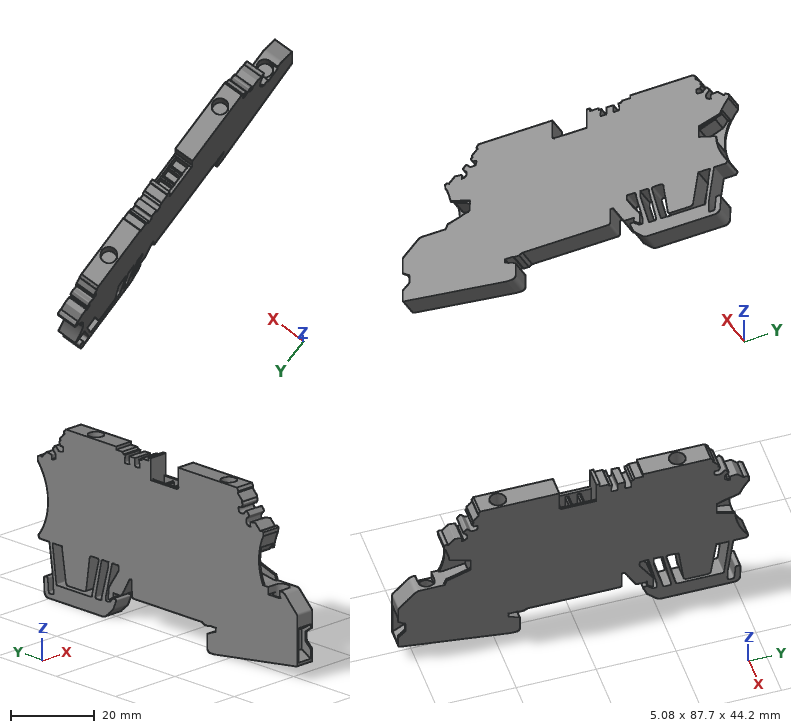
import cadquery as cq
import math


width = 5.08
length = 87.73
height = 44.25
half_length = length / 2
half_width = width / 2

step_z = height - 0.81
marker_z = step_z - 0.51
slot_z = 38.7
shoulder_z = 21.77
belly_z = 14.32
rail_z = 7.16
ledge_z = 6.86
foot_z = 3.98

teeth_mirror_y = 5.575

slot_y_left = 5.68
slot_y_right = -3.58
slot_chamfer = 0.45
slot_fillet = 0.15

hole_diameter = 4.0
hole_depth = 5.0
left_hole_y = 26.7
right_hole_y = -18.2
low_hole_y = -36.05
low_hole_x = -0.15
side_notch_depth = 1.9

funnel_half_width = 1.99
high_face_ys = (41.3, -31.25)
high_funnel_depth = 5.5
low_funnel_depth = 3.0
wall_notch_radius = 0.5
overcut = 2.0

pocket_x_min = -1.72
pocket_x_max = 1.99
pocket_depth = 4.0
plate_thickness = 0.9
plate_top_drop = 0.6
plate_ridge = 0.3
plate_ys = (2.7, -0.34)


def rounded_face(corners):
    """Closed YZ outline through corners (y, z) or (y, z, radius); a radius rounds that corner."""
    starts, middles, ends = [], [], []
    count = len(corners)
    for i in range(count):
        here = cq.Vector(*corners[i][:2])
        radius = corners[i][2] if len(corners[i]) > 2 else 0
        if radius == 0:
            starts.append(here)
            middles.append(None)
            ends.append(here)
            continue
        to_last = (cq.Vector(*corners[i - 1][:2]) - here).normalized()
        to_next = (cq.Vector(*corners[(i + 1) % count][:2]) - here).normalized()
        half_angle = to_last.getAngle(to_next) / 2
        setback = radius / math.tan(half_angle)
        bisector = (to_last + to_next).normalized()
        starts.append(here + to_last * setback)
        middles.append(here + bisector * (radius / math.sin(half_angle) - radius))
        ends.append(here + to_next * setback)

    path = cq.Workplane("YZ").moveTo(ends[0].x, ends[0].y)
    for i in list(range(1, count)) + [0]:
        path = path.lineTo(starts[i].x, starts[i].y)
        if middles[i] is not None:
            path = path.threePointArc((middles[i].x, middles[i].y), (ends[i].x, ends[i].y))
    return path.close()


def slab(corners, x_min=-half_width, x_max=half_width):
    """Rounded outline extruded from x_min to x_max."""
    return rounded_face(corners).extrude(x_max - x_min).translate((x_min, 0, 0))


def corner_teeth():
    """Marker teeth of the +Y upper corner, from the top edge outwards."""
    return [
        (35.12, 43.44),
        (34.85, 43.00),
        (36.43, 41.37, 0.15),
        (36.20, 40.95),
        (36.70, 40.50, 0.2),
        (36.15, 39.60),
        (35.15, 39.60, 0.4),
        (35.20, 38.15, 0.8),
        (36.75, 38.15, 0.3),
        (37.90, 39.30, 0.25),
        (38.83, 38.20, 0.15),
        (37.80, 37.05, 0.5),
        (37.80, 36.10, 0.5),
        (38.60, 35.50),
        (39.13, 35.50),
        (39.13, 36.65, 0.2),
        (40.90, 36.85, 0.2),
        (42.56, 35.20),
        (43.00, 35.55, 0.15),
    ]


def mirrored(corners, mirror_y):
    """The same stretch, in the same order, mirrored about mirror_y."""
    return [(2 * mirror_y - c[0], *c[1:]) for c in corners]


def marker_groove(outer_mouth_y, outer_floor_y, inner_y):
    """One undercut groove of the group marker, from its outer rim to its inner rim."""
    floor_z = 40.8
    undercut_z = 41.7
    corner_radius = 0.35
    return [
        (outer_mouth_y, marker_z),
        (outer_floor_y, undercut_z),
        (outer_floor_y, floor_z, corner_radius),
        (inner_y, floor_z, corner_radius),
        (inner_y, marker_z),
    ]


def top_edge():
    """Top of the housing from the +Y teeth to the -Y teeth."""
    groove_mirror_y = 11.92
    groove = marker_groove(14.2, 14.45, 12.86)
    return [
        (17.36, height),
        (17.36, step_z),
        (15.30, step_z),
        (14.80, marker_z),
        *groove,
        *mirrored(groove, groove_mirror_y)[::-1],
        (8.87, marker_z),
        (8.87, step_z),
        (6.55, step_z),
        (6.55, height),
        (slot_y_left, height),
        (slot_y_left, slot_z, slot_fillet),
        (slot_y_right + slot_chamfer, slot_z),
        (slot_y_right, slot_z + slot_chamfer),
        (slot_y_right, height),
    ]


def low_terminal():
    """The -Y end: shoulder, sloped nose, underside and the fixed rail hook."""
    return [
        (-32.40, 34.20),
        (-32.30, shoulder_z),
        (-39.25, shoulder_z, 2.0),
        (-half_length, 17.15, 0.9),
        (-half_length, 4.05, 0.4),
        (-15.80, 0),
        (-13.39, 0, 1.1),
        (-13.39, 4.65, 0.5),
        (-16.30, 5.85, 0.2),
        (-16.30, ledge_z),
        (-14.00, ledge_z),
        (-14.00, 6.65),
        (-12.50, 6.65),
        (-11.60, rail_z),
    ]


def rail_latch():
    """From the rail face through the latch slit to the hooked end of the foot."""
    return [
        (12.02, rail_z, 0.6),
        (12.02, 11.80, 0.4),
        (12.75, 11.80, 0.4),
        (14.93, 7.95),
        (15.60, ledge_z, 0.3),
        (18.35, ledge_z),
        (18.35, 5.80),
        (19.50, 4.90),
        (19.95, 4.90),
        (19.90, 7.79),
        (16.49, 13.00, 0.5),
        (16.49, belly_z, 0.4),
        (18.70, belly_z, 0.4),
        (20.80, 5.47, 0.5),
        (20.80, 4.23, 0.4),
        (19.74, 4.23, 0.3),
        (18.45, 5.45),
        (17.20, 5.45, 0.3),
        (18.35, 2.70, 2.0),
        (21.20, 0, 2.0),
    ]


def foot_end():
    """Release lip of the foot, its outer leg and the lower +Y corner of the body."""
    return [
        (41.60, 0, 1.5),
        (41.80, 5.30, 0.6),
        (40.50, 5.30, 0.5),
        (40.15, 1.26, 0.6),
        (38.50, 1.26, 0.6),
        (38.55, 4.50),
        (39.95, belly_z, 0.2),
        (43.20, belly_z, 0.4),
        (43.70, 15.08),
        (half_length, 33.85),
    ]


def side_scallop(start, deepest, end):
    """Finger hollow in an end face, an arc through three (y, z) points."""
    return (
        cq.Workplane("YZ")
        .moveTo(*start)
        .threePointArc(deepest, end)
        .close()
        .extrude(half_width, both=True)
    )


def foot_windows():
    """The two openings above the foot bar: one around the centre block, one between the thin legs."""
    around_block = [
        (38.85, belly_z, 0.2),
        (35.70, belly_z),
        (34.22, 4.78, 0.8),
        (27.55, 4.78, 0.8),
        (26.25, belly_z, 0.8),
        (23.10, belly_z, 0.5),
        (25.65, foot_z, 0.5),
        (37.55, foot_z, 0.4),
    ]
    between_legs = [
        (22.25, belly_z, 0.5),
        (20.05, belly_z),
        (20.05, 12.90),
        (22.45, foot_z, 0.4),
        (24.45, foot_z, 0.4),
    ]
    return slab(around_block).union(slab(between_legs))


def wire_funnel(face_y, inward, chamber, notch):
    """Tapered wire entry in an end face, open through a notch in the +X wall.

    inward is the Y direction into the part.  chamber and notch are profiles: lists of
    (depth, z) or (depth, z, radius) inwards along the floor and then back along the roof.
    """
    outside_y = face_y - inward * overcut

    def profile(points):
        corners = [(face_y + inward * p[0], *p[1:]) for p in points]
        return [(outside_y, points[0][1]), *corners, (outside_y, points[-1][1])]

    chamber_cut = slab(profile(chamber), -funnel_half_width, funnel_half_width)
    notch_cut = slab(profile(notch), funnel_half_width, half_width)
    return chamber_cut.union(notch_cut)


def high_funnel(face_y, inward):
    """Wire entry in the middle of an end scallop."""
    chamber = [
        (0, shoulder_z),
        (high_funnel_depth, 22.7),
        (high_funnel_depth, 27.5),
        (1.3, 29.2),
        (0, 31.0),
    ]
    notch = [
        (0, 23.2),
        (high_funnel_depth, 25.0, wall_notch_radius),
        (high_funnel_depth, 28.2, wall_notch_radius),
        (0, 29.9),
    ]
    return wire_funnel(face_y, inward, chamber, notch)


def low_funnel():
    """Wire entry in the nose of the low terminal."""
    notch_depth = 1.8
    chamber = [
        (0, 4.95),
        (low_funnel_depth, 6.6),
        (low_funnel_depth, 11.8),
        (1.5, 12.7),
        (0, 13.7),
    ]
    notch = [
        (0, 7.4),
        (notch_depth, 9.0, wall_notch_radius),
        (notch_depth, 11.4, wall_notch_radius),
        (0, 12.7, wall_notch_radius),
    ]
    return wire_funnel(-half_length, 1, chamber, notch)


def screw_hole(x, y, top_z):
    """Vertical blind hole from top_z."""
    return (
        cq.Workplane("XY", origin=(x, y, top_z - hole_depth))
        .circle(hole_diameter / 2)
        .extrude(hole_depth)
    )


def block(x_min, x_max, y_min, y_max, z_min, z_max):
    """Box between the given limits."""
    return cq.Workplane("XY").box(x_max - x_min, y_max - y_min, z_max - z_min, centered=False).translate(
        (x_min, y_min, z_min)
    )


def make_housing():
    outline = [
        (34.32, height),
        *top_edge(),
        (-23.46, height),
        *mirrored(corner_teeth(), teeth_mirror_y),
        (-32.47, 35.20),
        *low_terminal(),
        *rail_latch(),
        *foot_end(),
        (half_length, 35.03),
        *corner_teeth()[::-1],
    ]
    housing = slab(outline).cut(foot_windows())

    housing = housing.cut(side_scallop((43.70, 15.08), (40.40, 24.35), (half_length, 33.85)))
    housing = housing.cut(side_scallop((-32.40, 34.20), (-30.88, 27.70), (-32.30, shoulder_z)))

    for face_y in high_face_ys:
        housing = housing.cut(high_funnel(face_y, -math.copysign(1, face_y)))
    housing = housing.cut(low_funnel())

    holes = (
        (0, left_hole_y, height),
        (0, right_hole_y, height),
        (low_hole_x, low_hole_y, shoulder_z),
    )
    for x, y, top_z in holes:
        housing = housing.cut(screw_hole(x, y, top_z))
    half_notch = hole_diameter / 2
    housing = housing.cut(
        block(
            -half_width, low_hole_x,
            low_hole_y - half_notch, low_hole_y + half_notch,
            shoulder_z - side_notch_depth, shoulder_z,
        )
    )

    return housing.cut(
        block(
            pocket_x_min, pocket_x_max,
            slot_y_right + slot_chamfer, slot_y_left,
            slot_z - pocket_depth, slot_z + slot_fillet,
        )
    )


def make_contact_plate(y):
    """Upright plate with a ridged top, standing on the pocket floor across its full width."""
    top_z = slot_z - plate_top_drop
    half = plate_thickness / 2
    return slab(
        [
            (y - half, slot_z - pocket_depth),
            (y + half, slot_z - pocket_depth),
            (y + half, top_z - plate_ridge),
            (y, top_z),
            (y - half, top_z - plate_ridge),
        ],
        pocket_x_min,
        pocket_x_max,
    )


housing = make_housing()
contact_plates = [make_contact_plate(y) for y in plate_ys]

result = cq.Compound.makeCompound([housing.val(), *[plate.val() for plate in contact_plates]])